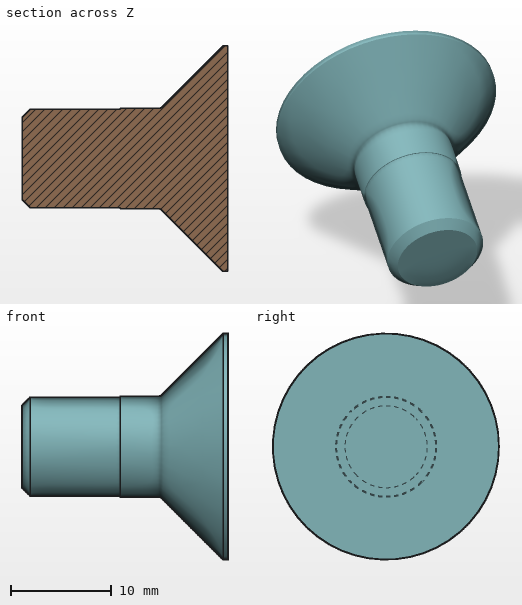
import cadquery as cq
import math


overall_length = 20.42
head_diameter = 22.4
head_rim_thickness = 0.5
head_half_angle = math.radians(45)
shank_diameter = 10.0
neck_fillet_radius = 0.3
thread_diameter = 9.8
thread_length = 9.72
tip_diameter = 8.13
tip_chamfer_length = 0.84

head_radius = head_diameter / 2
shank_radius = shank_diameter / 2
thread_radius = thread_diameter / 2
tip_radius = tip_diameter / 2

fillet_end_radius = shank_radius + neck_fillet_radius * (1 - math.cos(head_half_angle))
fillet_length = neck_fillet_radius * math.sin(head_half_angle)
fillet_mid_radius = shank_radius + neck_fillet_radius * (1 - math.cos(head_half_angle / 2))
fillet_mid_offset = neck_fillet_radius * math.sin(head_half_angle / 2)

rim_start = overall_length - head_rim_thickness
cone_start = rim_start - (head_radius - fillet_end_radius) / math.tan(head_half_angle)
fillet_start = cone_start - fillet_length


def half_profile():
    """Half section of the screw, from the tip to the head face."""
    return (
        cq.Workplane("XY")
        .moveTo(0, 0)
        .lineTo(0, tip_radius)
        .lineTo(tip_chamfer_length, thread_radius)
        .lineTo(thread_length, thread_radius)
        .lineTo(thread_length, shank_radius)
        .lineTo(fillet_start, shank_radius)
        .threePointArc(
            (fillet_start + fillet_mid_offset, fillet_mid_radius),
            (cone_start, fillet_end_radius),
        )
        .lineTo(rim_start, head_radius)
        .lineTo(overall_length, head_radius)
        .lineTo(overall_length, 0)
        .close()
    )


result = half_profile().revolve(360, (0, 0, 0), (1, 0, 0))